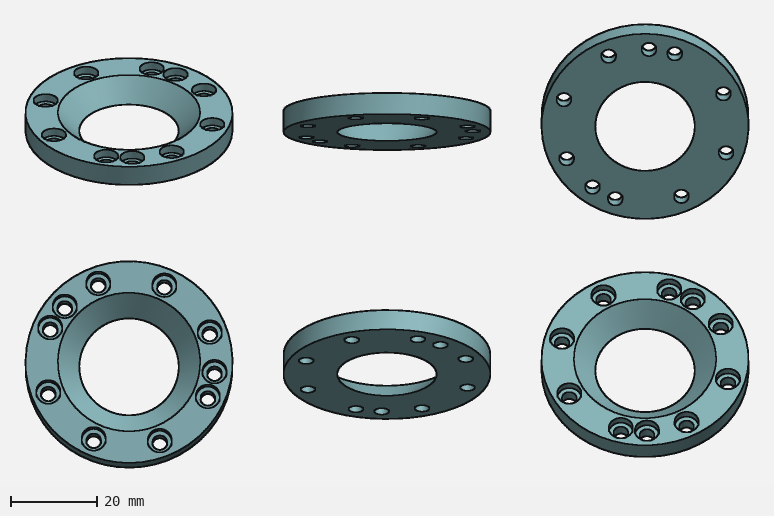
import cadquery as cq
import math

outer_diameter = 48
thickness = 5.0
opening_top_diameter = 33.0
opening_bottom_diameter = 23.0

hole_diameter = 3.4
counterbore_diameter = 5.6
counterbore_depth = 2.0
bolt_circle_radius = 20.0
main_hole_count = 8
extra_hole_offset_x = 6.0

hole_points = []
for index in range(main_hole_count):
    angle = 2 * math.pi * index / main_hole_count
    hole_points.append((bolt_circle_radius * math.cos(angle), bolt_circle_radius * math.sin(angle)))

extra_hole_offset_y = 19.0
for side in (1, -1):
    hole_points.append((extra_hole_offset_x, side * extra_hole_offset_y))


def ring_with_conical_opening():
    """Ring whose opening widens evenly from the bottom face to the top face."""
    section = (
        cq.Workplane("XZ")
        .moveTo(opening_bottom_diameter / 2, 0)
        .lineTo(outer_diameter / 2, 0)
        .lineTo(outer_diameter / 2, thickness)
        .lineTo(opening_top_diameter / 2, thickness)
        .close()
    )
    return section.revolve(360, (0, 0, 0), (0, 1, 0))


def drill_screw_holes(ring):
    """Through holes with counterbores sunk from the top face."""
    top_plane = cq.Workplane("XY").workplane(offset=thickness)
    shanks = top_plane.pushPoints(hole_points).circle(hole_diameter / 2).extrude(-thickness)
    heads = top_plane.pushPoints(hole_points).circle(counterbore_diameter / 2).extrude(-counterbore_depth)
    return ring.cut(shanks).cut(heads)


result = drill_screw_holes(ring_with_conical_opening())